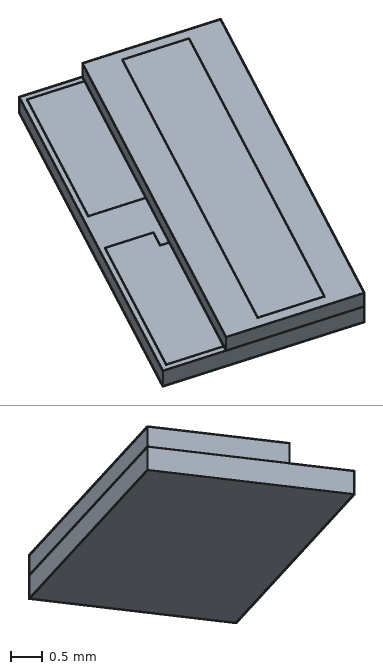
import cadquery as cq

LENGTH = 6.1
WIDTH = 3.5
HEIGHT = 0.75

BASE_HEIGHT = 0.4
STEP_DEPTH = 1.1
COVER_HEIGHT = HEIGHT - BASE_HEIGHT
COVER_WIDTH = WIDTH - STEP_DEPTH
FRONT_Y = -WIDTH / 2
COVER_FRONT_Y = FRONT_Y + STEP_DEPTH
COVER_CENTER_Y = COVER_FRONT_Y + COVER_WIDTH / 2

WINDOW_LENGTH = 5.745
WINDOW_WIDTH = 1.16
INLAY_DEPTH = 0.06

PAD_MARGIN = 0.1
PAD_LENGTH = 2.6
PAD_INNER_X = LENGTH / 2 - PAD_MARGIN - PAD_LENGTH
PAD_WIDTH = STEP_DEPTH - PAD_MARGIN
PAD_FRONT_Y = FRONT_Y + PAD_MARGIN

NOTCH_LENGTH = 0.285
NOTCH_WIDTH = 0.16


def block(x, y, z, length, width, height):
    """Box with its lowest corner at (x, y, z)."""
    return cq.Workplane("XY").box(length, width, height, centered=False).translate((x, y, z))


def make_window():
    return block(
        -WINDOW_LENGTH / 2,
        COVER_CENTER_Y - WINDOW_WIDTH / 2,
        HEIGHT - INLAY_DEPTH,
        WINDOW_LENGTH,
        WINDOW_WIDTH,
        INLAY_DEPTH,
    )


def make_pad(left_x):
    return block(left_x, PAD_FRONT_Y, BASE_HEIGHT - INLAY_DEPTH, PAD_LENGTH, PAD_WIDTH, INLAY_DEPTH)


def make_notched_pad():
    notch = block(
        PAD_INNER_X,
        COVER_FRONT_Y - NOTCH_WIDTH,
        BASE_HEIGHT - INLAY_DEPTH,
        NOTCH_LENGTH,
        NOTCH_WIDTH,
        INLAY_DEPTH,
    )
    return make_pad(PAD_INNER_X).cut(notch)


def make_base(pads):
    """Substrate plate with a recess matching each pad."""
    base = block(-LENGTH / 2, FRONT_Y, 0, LENGTH, WIDTH, BASE_HEIGHT)
    for pad in pads:
        base = base.cut(pad)
    return base


def make_cover(window):
    """Cover plate with a recess matching the window."""
    plate = block(-LENGTH / 2, COVER_FRONT_Y, BASE_HEIGHT, LENGTH, COVER_WIDTH, COVER_HEIGHT)
    return plate.cut(window)


window = make_window()
plain_pad = make_pad(-PAD_INNER_X - PAD_LENGTH)
notched_pad = make_notched_pad()
base = make_base([plain_pad, notched_pad])
cover = make_cover(window)

result = cq.Compound.makeCompound(
    [base.val(), cover.val(), window.val(), plain_pad.val(), notched_pad.val()]
)